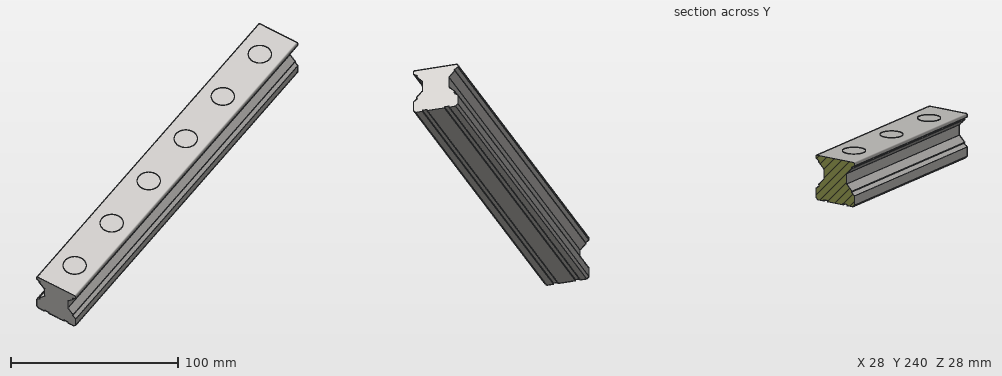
import cadquery as cq

LENGTH = 240.0
WIDTH = 28.0
HEIGHT = 28.0
HALF_WIDTH = WIDTH / 2

TOP_RADIUS = 1.0
BOTTOM_CHAMFER = 1.5

LIP_HALF_WIDTH = 12.2
NOTCH_HALF_WIDTH = 11.8
HEAD_SIDE_DEPTH = 2.2
HEAD_NOTCH_DEPTH = 3.5
HEAD_LIP_DEPTH = 4.0
FOOT_LIP_DEPTH = 18.2
FOOT_NOTCH_DEPTH = 19.0
FOOT_SIDE_DEPTH = 21.0

WAIST_HALF_WIDTH = 8.5
FLANK_DROP = LIP_HALF_WIDTH - WAIST_HALF_WIDTH
WAIST_TOP_DEPTH = HEAD_LIP_DEPTH + FLANK_DROP
WAIST_BOTTOM_DEPTH = FOOT_LIP_DEPTH - FLANK_DROP

GROOVE_INNER = 5.5
GROOVE_OUTER = 8.5
GROOVE_DEPTH = 0.7

SEAT_COUNT = 6
SEAT_DIAMETER = 14.0
SEAT_DEPTH = 0.2
SEAT_PITCH = LENGTH / SEAT_COUNT


def right_half_outline():
    """Right side of the cross-section as (x, z) points, from top to bottom."""
    return [
        (HALF_WIDTH, HEIGHT),
        (HALF_WIDTH, HEIGHT - HEAD_SIDE_DEPTH),
        (NOTCH_HALF_WIDTH, HEIGHT - HEAD_NOTCH_DEPTH),
        (LIP_HALF_WIDTH, HEIGHT - HEAD_LIP_DEPTH),
        (WAIST_HALF_WIDTH, HEIGHT - WAIST_TOP_DEPTH),
        (WAIST_HALF_WIDTH, HEIGHT - WAIST_BOTTOM_DEPTH),
        (LIP_HALF_WIDTH, HEIGHT - FOOT_LIP_DEPTH),
        (NOTCH_HALF_WIDTH, HEIGHT - FOOT_NOTCH_DEPTH),
        (HALF_WIDTH, HEIGHT - FOOT_SIDE_DEPTH),
        (HALF_WIDTH, BOTTOM_CHAMFER),
        (HALF_WIDTH - BOTTOM_CHAMFER, 0),
        (GROOVE_OUTER, 0),
        (GROOVE_OUTER, GROOVE_DEPTH),
        (GROOVE_INNER, GROOVE_DEPTH),
        (GROOVE_INNER, 0),
    ]


def rail_body():
    """Symmetric cross-section extruded along Y, with the top edges rounded."""
    right = right_half_outline()
    left = [(-x, z) for x, z in reversed(right)]
    section = cq.Workplane("XZ").polyline(right + left).close()
    bar = section.extrude(LENGTH / 2, both=True)
    return bar.edges(">Z and |Y").fillet(TOP_RADIUS)


def seats():
    """Evenly spaced discs to be sunk into the top face."""
    return (
        cq.Workplane("XY", origin=(0, 0, HEIGHT - SEAT_DEPTH))
        .rarray(2.5, SEAT_PITCH, 1, SEAT_COUNT)
        .circle(SEAT_DIAMETER / 2)
        .extrude(SEAT_DEPTH)
    )


result = rail_body().cut(seats())